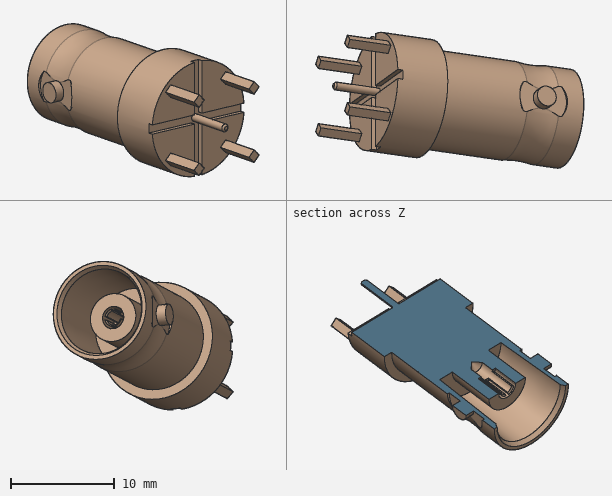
import cadquery as cq


total_length = 24.32
body_radius = 4.82
flange_diameter = 11.5
flange_radius = flange_diameter / 2
flange_start = 14.76
flange_end = 20.02

waist_start = 2.58
waist_end = 5.89
waist_depth = 0.15

post_x = (waist_start + waist_end) / 2
post_radius = 1.0
post_root = 4.45
post_reach = 5.55
flat_height = 4.57
flat_radius = 2.5

mouth_radius = 4.43
lead_in_radius = 4.15
lead_in_depth = 0.49
bore_end_radius = 3.95
bore_depth = 8.75
nose_radius = 2.35
nose_front = 3.48

well_radius = 1.1
well_depth = 2.92
tube_radius = 0.85
socket_radius = 0.7
socket_depth = 4.38
socket_point_depth = 0.73
tube_slot_width = 0.35
tube_slot_count = 4

channel_width = 0.92
channel_depth = 0.5
channel_span = 12.15
channel_floor = flange_end - channel_depth
leg_side = 0.9
leg_offset = 3.43
leg_turn = 45
pin_radius = 0.4
pin_end = 24.25
pin_chamfer = 0.2


def cylinder_x(radius, start, end):
    """Solid cylinder on the X axis between two positions."""
    return cq.Workplane("YZ").workplane(offset=start).circle(radius).extrude(end - start)


def revolve_x(outline):
    """Turn a closed XY outline around the X axis."""
    return outline.close().revolve(360, (0, 0, 0), (1, 0, 0))


def make_shell():
    """Waisted barrel with its flange."""
    outline = (
        cq.Workplane("XY")
        .lineTo(0, body_radius)
        .lineTo(waist_start, body_radius)
        .threePointArc((post_x, body_radius - waist_depth), (waist_end, body_radius))
        .lineTo(flange_start, body_radius)
        .lineTo(flange_start, flange_radius)
        .lineTo(flange_end, flange_radius)
        .lineTo(flange_end, 0)
    )
    return revolve_x(outline)


def make_bore():
    """Annular space between the mouth wall and the insulator nose."""
    outline = (
        cq.Workplane("XY")
        .lineTo(0, mouth_radius)
        .lineTo(lead_in_depth, lead_in_radius)
        .lineTo(bore_depth, bore_end_radius)
        .lineTo(bore_depth, nose_radius)
        .lineTo(nose_front, nose_radius)
        .lineTo(nose_front, 0)
    )
    return revolve_x(outline)


def make_contact_cut():
    """Well around the contact tube, its countersunk socket and its slots."""
    well_floor = nose_front + well_depth
    socket_floor = nose_front + socket_depth
    countersink_depth = tube_radius - socket_radius
    well = cylinder_x(well_radius, nose_front, well_floor).cut(
        cylinder_x(tube_radius, nose_front, well_floor)
    )
    socket = revolve_x(
        cq.Workplane("XY")
        .moveTo(nose_front, 0)
        .lineTo(nose_front, tube_radius)
        .lineTo(nose_front + countersink_depth, socket_radius)
        .lineTo(socket_floor, socket_radius)
        .lineTo(socket_floor + socket_point_depth, 0)
    )
    cutter = well.union(socket)
    for index in range(tube_slot_count):
        slot = (
            cq.Workplane("XY")
            .box(well_depth, well_radius, tube_slot_width, centered=(False, False, True))
            .intersect(cylinder_x(well_radius, 0, well_depth))
            .translate((nose_front, 0, 0))
            .rotate((0, 0, 0), (1, 0, 0), index * 360 / tube_slot_count)
        )
        cutter = cutter.union(slot)
    return cutter


def disc_y(radius, start, end, side):
    """Cylinder about the post axis, on the +Y (side 1) or -Y (side -1) half."""
    disc = cq.Workplane("XZ", origin=(post_x, end, 0)).circle(radius).extrude(end - start)
    return disc if side > 0 else disc.mirror("XZ")


def add_posts(part):
    """Cut the round flats and stand a bayonet post on each."""
    for side in (1, -1):
        part = part.cut(disc_y(flat_radius, flat_height, flange_radius, side))
        part = part.union(disc_y(post_radius, post_root, post_reach, side))
    return part


def cut_channels(part):
    """Cross channels over the board face."""
    for width, height in ((channel_span, channel_width), (channel_width, channel_span)):
        channel = cq.Workplane("YZ").workplane(offset=channel_floor).rect(width, height)
        part = part.cut(channel.extrude(channel_depth))
    return part


def add_legs(part):
    """Four square legs, turned so their corners point along Y and Z."""
    for y in (-leg_offset, leg_offset):
        for z in (-leg_offset, leg_offset):
            leg = (
                cq.Workplane("YZ", origin=(channel_floor, y, z))
                .transformed(rotate=(0, 0, leg_turn))
                .rect(leg_side, leg_side)
                .extrude(total_length - channel_floor)
            )
            part = part.union(leg)
    return part


def add_pin(part):
    """Centre pin rising from the channel floor."""
    pin = cylinder_x(pin_radius, channel_floor, pin_end).faces(">X").chamfer(pin_chamfer)
    return part.union(pin)


result = add_posts(make_shell()).cut(make_bore()).cut(make_contact_cut())
result = add_pin(add_legs(cut_channels(result)))